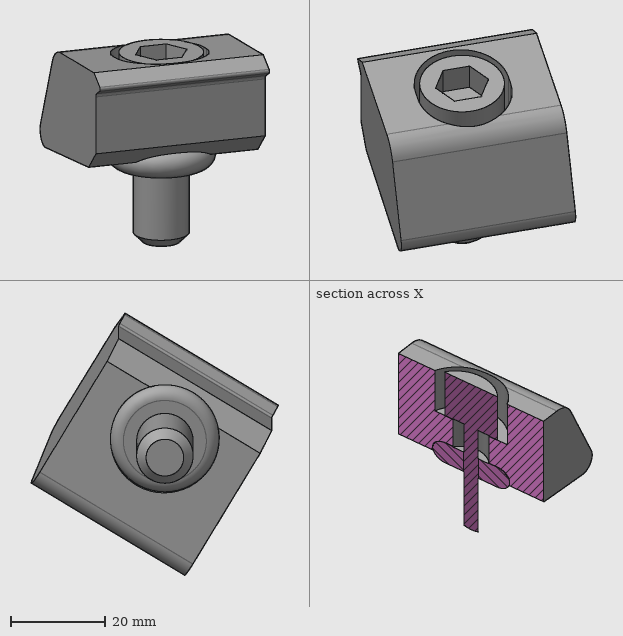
import cadquery as cq
import math

screw_x = 23.2
shank_diameter = 11.97
shank_length = 30.0
tip_chamfer = 2.0
head_diameter = 18.0
head_height = shank_diameter
hex_across_flats = 10.0
hex_depth = 6.0

washer_diameter = 23.1
washer_thickness = 5.5
washer_bottom = 16.85
rim_radius = washer_thickness / 2
washer_radius = washer_diameter / 2
washer_middle = washer_bottom + rim_radius
washer_top = washer_bottom + washer_thickness

block_width = 38.1
heel_corner = (-2.1, 16.15)
heel_radius = 3.1
shoulder_corner = (9.25, 40.45)
shoulder_radius = 6.15
crest = (34.17, 42.6)
nose_slope = math.radians(30)
nose_tip_x = 38.65
nose_radius = 0.5
nose_root_radius = 1.0
front_x = 35.45
front_bottom_z = 24.95
toe = (30.8, 20.6)

slot_travel = 1.9
counterbore_width = 20.3


def make_block_blank():
    nose_tip_z = crest[1] - (nose_tip_x - crest[0]) * math.tan(nose_slope)
    nose_root_z = nose_tip_z - (nose_tip_x - front_x) * math.tan(nose_slope)
    nose_tip = (nose_tip_x, nose_tip_z)
    nose_root = (front_x, nose_root_z)
    profile = [
        heel_corner,
        shoulder_corner,
        crest,
        nose_tip,
        nose_root,
        (front_x, front_bottom_z),
        toe,
    ]
    blank = cq.Workplane("XZ").polyline(profile).close().extrude(block_width / 2, both=True)
    rounded_corners = [
        (heel_corner, heel_radius),
        (shoulder_corner, shoulder_radius),
        (nose_tip, nose_radius),
        (nose_root, nose_root_radius),
    ]
    for (x, z), radius in rounded_corners:
        blank = blank.edges(cq.NearestToPointSelector((x, 0, z))).fillet(radius)
    return blank


def make_slot(width, bottom, top):
    """Vertical slot that lets the block slide from the screw axis towards +X."""
    return (
        cq.Workplane("XY", origin=(screw_x - slot_travel / 2, 0, bottom))
        .slot2D(width + slot_travel, width)
        .extrude(top - bottom)
    )


def make_washer_recess():
    """Seat with the washer's rounded upper rim and straight walls below it."""
    return (
        cq.Workplane("XY", origin=(screw_x, 0, 0))
        .circle(washer_radius)
        .extrude(washer_top)
        .faces(">Z")
        .edges()
        .fillet(rim_radius)
    )


def make_block():
    counterbore = make_slot(counterbore_width, shank_length, crest[1])
    shank_slot = make_slot(shank_diameter, 0, crest[1])
    return make_block_blank().cut(counterbore).cut(shank_slot).cut(make_washer_recess())


def make_washer():
    flat_radius = washer_radius - rim_radius
    shank_radius = shank_diameter / 2
    return (
        cq.Workplane("XZ", origin=(screw_x, 0, 0))
        .moveTo(shank_radius, washer_bottom)
        .lineTo(flat_radius, washer_bottom)
        .threePointArc((washer_radius, washer_middle), (flat_radius, washer_top))
        .lineTo(shank_radius, washer_top)
        .close()
        .revolve(360, (0, 0, 0), (0, 1, 0))
    )


def make_screw():
    shank = (
        cq.Workplane("XY", origin=(screw_x, 0, 0))
        .circle(shank_diameter / 2)
        .extrude(shank_length)
        .faces("<Z")
        .chamfer(tip_chamfer)
    )
    head = (
        cq.Workplane("XY", origin=(screw_x, 0, shank_length))
        .circle(head_diameter / 2)
        .extrude(head_height)
    )
    hex_across_corners = hex_across_flats / math.cos(math.radians(30))
    socket = (
        cq.Workplane("XY", origin=(screw_x, 0, shank_length + head_height - hex_depth))
        .transformed(rotate=(0, 0, 90))
        .polygon(6, hex_across_corners)
        .extrude(hex_depth)
    )
    return shank.union(head).cut(socket)


block = make_block()
washer = make_washer()
screw = make_screw()

result = cq.Compound.makeCompound([block.solids().val(), washer.val(), screw.solids().val()])